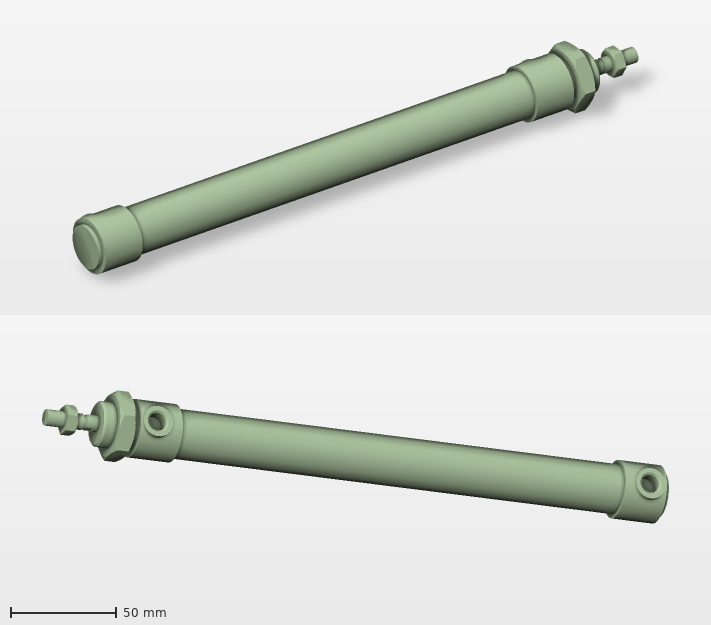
import cadquery as cq
import math

total_length = 314.5

tube_diameter = 24.0
cap_diameter = 28.0
cap_length = 21.0
boss_diameter = 22.0
rear_boss_length = 2.2
gland_length = 17.5
gland_chamfer = 1.0
front_cap_end = 270.8
gland_end = front_cap_end + gland_length
rear_cap_end = rear_boss_length + cap_length
front_cap_start = front_cap_end - cap_length

port_boss_diameter = 15.0
port_hole_diameter = 8.8
port_chamfer = 1.0
port_reach = 14.8
port_depth = 8.0
port_inset = 8.2
rear_port_y = 10.7
front_port_y = front_cap_end - port_inset

rod_diameter = 8.0
neck_diameter = 6.5
neck_length = 1.5
thread_length = 18.5
wrench_flats = 6.5
wrench_length = 3.0
thread_start = total_length - thread_length
neck_start = thread_start - neck_length
socket_floor = front_cap_end

gland_nut_flats = 30.0
gland_nut_thickness = 8.2
gland_nut_start = 274.0
rod_nut_flats = 13.0
rod_nut_thickness = 5.5
rod_nut_start = 300.0
gland_nut_chamfer_angle = 30.0
rod_nut_chamfer_angle = 45.0


def cylinder_y(diameter, start, end):
    """Cylinder about the Y axis between two Y positions."""
    circle = cq.Workplane("XZ", origin=(0, start, 0)).circle(diameter / 2)
    return circle.extrude(start - end)


def cylinder_x(diameter, start, end, y):
    """Cylinder parallel to X between two X positions, at the given Y."""
    return cq.Workplane("YZ", origin=(start, y, 0)).circle(diameter / 2).extrude(end - start)


def make_cylinder_body():
    gland = cylinder_y(boss_diameter, front_cap_end, gland_end).faces(">Y").chamfer(gland_chamfer)
    body = (
        cylinder_y(boss_diameter, 0, rear_boss_length)
        .union(cylinder_y(cap_diameter, rear_boss_length, rear_cap_end))
        .union(cylinder_y(tube_diameter, rear_cap_end, front_cap_start))
        .union(cylinder_y(cap_diameter, front_cap_start, front_cap_end))
        .union(gland)
    )
    for port_y in (rear_port_y, front_port_y):
        body = body.union(cylinder_x(port_boss_diameter, -port_reach, 0, port_y))
        hole = cylinder_x(port_hole_diameter, -port_reach, -port_reach + port_depth, port_y)
        countersink = cq.Workplane("XY").add(
            cq.Solid.makeCone(
                port_hole_diameter / 2 + port_chamfer,
                port_hole_diameter / 2,
                port_chamfer,
                pnt=cq.Vector(-port_reach, port_y, 0),
                dir=cq.Vector(1, 0, 0),
            )
        )
        body = body.cut(hole).cut(countersink)
    return body.cut(cylinder_y(rod_diameter, socket_floor, gland_end))


def make_rod():
    rod = (
        cylinder_y(rod_diameter, socket_floor, neck_start)
        .union(cylinder_y(neck_diameter, neck_start, thread_start))
        .union(cylinder_y(rod_diameter, thread_start, total_length))
    )
    flat_height = wrench_flats / 2
    flat_end = neck_start - wrench_length
    rod_radius = rod_diameter / 2
    ramp_end = flat_end - (rod_radius - flat_height)
    outline = [
        (neck_start, flat_height),
        (flat_end, flat_height),
        (ramp_end, rod_radius),
        (neck_start, rod_radius),
    ]
    top_cut = cq.Workplane("YZ").polyline(outline).close().extrude(rod_radius, both=True)
    return rod.cut(top_cut).cut(top_cut.mirror("XY"))


def make_nut(flats, thickness, start, bore, chamfer_angle, chamfer_front):
    """Hexagon nut with flats facing +Z and -Z; its corners are always chamfered at the rear."""
    corners = flats / math.cos(math.radians(30))
    slope = math.tan(math.radians(chamfer_angle))
    drop = (corners - flats) / 2 * slope
    end = start + thickness
    hexagon = cq.Workplane("XZ", origin=(0, start, 0)).polygon(6, corners).extrude(-thickness)
    outline = [(0, start), (flats / 2, start), (corners / 2, start + drop)]
    if chamfer_front:
        outline += [(corners / 2, end - drop), (flats / 2, end)]
    else:
        outline += [(corners / 2, end)]
    outline += [(0, end)]
    envelope = cq.Workplane("XY").polyline(outline).close().revolve(360, (0, 0, 0), (0, 1, 0))
    return hexagon.intersect(envelope).cut(cylinder_y(bore, start, end))


cylinder_body = make_cylinder_body()
rod = make_rod()
gland_nut = make_nut(
    gland_nut_flats, gland_nut_thickness, gland_nut_start, boss_diameter, gland_nut_chamfer_angle, True
)
rod_nut = make_nut(
    rod_nut_flats, rod_nut_thickness, rod_nut_start, rod_diameter, rod_nut_chamfer_angle, False
)

result = cq.Compound.makeCompound(
    [cylinder_body.val(), rod.val(), gland_nut.val(), rod_nut.val()]
)